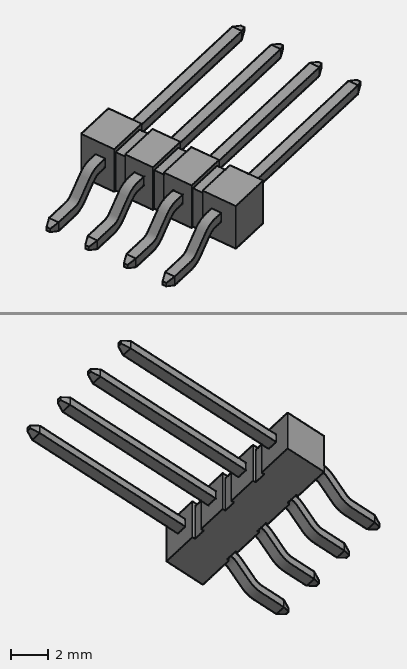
import cadquery as cq
import math


pin_count = 4
pitch = 2.55
row_length = pin_count * pitch
pin_positions = [(index - (pin_count - 1) / 2) * pitch for index in range(pin_count)]

block_depth = 2.55
block_height = 3.05
notch_width = 0.72
notch_top = 0.29
notch_front = 0.13
notch_back = 0.18

overall_length = 18.03
pin_size = 0.63
pin_height = 1.77
front_reach = 4.83
bend_start = 0.55
bend_angle = math.radians(45)
inner_bend_radius = pin_size
tip_length = 0.5
tip_size = 0.25

foot_height = pin_size / 2
bend_radius = inner_bend_radius + pin_size / 2
front_tip_base = -front_reach + tip_length
back_tip_base = overall_length - front_reach - tip_length


def make_row_of_blocks():
    """Long bar, notched between the pins so that square blocks joined by webs remain."""
    centering = (True, False, False)
    bar = cq.Workplane("XY").box(row_length, block_depth, block_height, centered=centering)
    web_depth = block_depth - notch_front - notch_back
    web_height = block_height - notch_top
    for left_pin, right_pin in zip(pin_positions, pin_positions[1:]):
        middle = (left_pin + right_pin) / 2
        gap = cq.Workplane("XY").box(notch_width, block_depth, block_height, centered=centering)
        web = (
            cq.Workplane("XY")
            .box(notch_width, web_depth, web_height, centered=centering)
            .translate((0, notch_front, 0))
        )
        bar = bar.cut(gap.cut(web).translate((middle, 0, 0)))
    return bar


def make_pin(x):
    """Square wire with an S-bend down to its foot and a tapered tip at each end."""
    arc_run = bend_radius * math.sin(bend_angle)
    arc_drop = bend_radius * (1 - math.cos(bend_angle))
    slope_drop = pin_height - foot_height - 2 * arc_drop
    slope_run = slope_drop / math.tan(bend_angle)

    upper_arc_end = (-bend_start - arc_run, pin_height - arc_drop)
    lower_arc_start = (upper_arc_end[0] - slope_run, foot_height + arc_drop)
    lower_arc_end = (lower_arc_start[0] - arc_run, foot_height)

    centre_line = (
        cq.Workplane("YZ")
        .moveTo(back_tip_base, pin_height)
        .lineTo(-bend_start, pin_height)
        .tangentArcPoint(upper_arc_end, relative=False)
        .lineTo(*lower_arc_start)
        .tangentArcPoint(lower_arc_end, relative=False)
        .lineTo(front_tip_base, foot_height)
    )
    wire = (
        cq.Workplane("XZ", origin=(0, back_tip_base, pin_height))
        .rect(pin_size, pin_size)
        .sweep(centre_line)
    )
    tip_taper = math.degrees(math.atan((pin_size - tip_size) / 2 / tip_length))
    for end_face in ("<Y", ">Y"):
        wire = (
            wire.faces(end_face)
            .workplane(centerOption="CenterOfMass")
            .rect(pin_size, pin_size)
            .extrude(tip_length, taper=tip_taper)
        )
    return wire.translate((x, 0, 0))


first_pin, *inner_positions, last_pin = pin_positions
inner_pins = [make_pin(x) for x in inner_positions]

housing = make_row_of_blocks()
for x in (first_pin, last_pin):
    housing = housing.union(make_pin(x))
for pin in inner_pins:
    housing = housing.cut(pin)

result = cq.Compound.makeCompound([housing.solids().val(), *[pin.solids().val() for pin in inner_pins]])